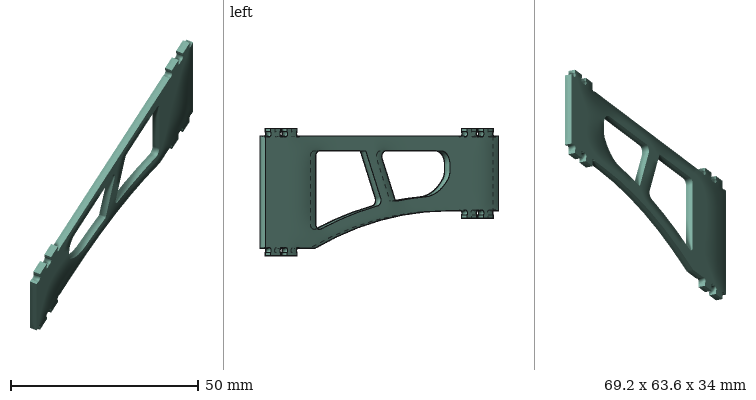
import cadquery as cq
import math

thickness = 2.0
length = 92.0
turn_angle = 42.5
tall_height = 30.0
short_height = 20.0
step_height = tall_height - short_height

arc_start_u = 19.5
arc_end_u = 72.0
arc_run = arc_end_u - arc_start_u
arc_radius = (arc_run**2 + step_height**2) / (2 * step_height)
arc_center = (arc_end_u, step_height - arc_radius)

tab_height = thickness
tab_width = 4.0
tab_gap = 2.5
tab_pitch = tab_width + tab_gap
tab_end_margin = 2.0
relief_radius = 0.8
relief_offset = relief_radius / math.sqrt(2)

border_width = 4.0
window_top = tall_height - border_width
window_arc_radius = arc_radius + border_width
first_window_left = 19.85
second_window_right = 72.8
corner_radius = 1.5
sharp_corner_radius = 0.5
strut_width = 5.0
strut_angle = math.radians(25.0)
strut_left_top = (39.6, window_top)
strut_right_top = (strut_left_top[0] + strut_width / math.cos(strut_angle), window_top)

nose_start_u = 63.0
nose_radius = 12.5
nose_top_radius = 3.5
nose_bottom_radius = 3.5


def extrude(outline):
    return outline.close().extrude(thickness)


def add_arc(outline, center, radius, start, end):
    """Continue the outline from start to end along the shorter arc about center."""
    chord_u = (start[0] + end[0]) / 2 - center[0]
    chord_v = (start[1] + end[1]) / 2 - center[1]
    stretch = radius / math.hypot(chord_u, chord_v)
    middle = (center[0] + chord_u * stretch, center[1] + chord_v * stretch)
    return outline.threePointArc(middle, end)


def make_body():
    start = (arc_start_u, 0)
    end = (arc_end_u, step_height)
    outline = cq.Workplane("XY").moveTo(length, step_height).lineTo(length, tall_height)
    outline = outline.lineTo(0, tall_height).lineTo(0, 0).lineTo(*start)
    return extrude(add_arc(outline, arc_center, arc_radius, start, end))


def window_bottom(u):
    """Point at u on the bottom arc of the windows."""
    return u, arc_center[1] + math.sqrt(window_arc_radius**2 - (u - arc_center[0]) ** 2)


def strut_foot(top):
    """Point where the strut side that comes down from top meets the bottom arc of the windows."""
    along_u = math.sin(strut_angle)
    along_v = -math.cos(strut_angle)
    from_center_u = top[0] - arc_center[0]
    from_center_v = top[1] - arc_center[1]
    toward = from_center_u * along_u + from_center_v * along_v
    excess = from_center_u**2 + from_center_v**2 - window_arc_radius**2
    distance = -toward - math.sqrt(toward**2 - excess)
    return top[0] + distance * along_u, top[1] + distance * along_v


def round_corner(window, corner, radius):
    nearest = cq.selectors.NearestToPointSelector((*corner, thickness / 2))
    return window.edges(nearest).fillet(radius)


def make_first_window():
    bottom_left = window_bottom(first_window_left)
    top_left = (first_window_left, window_top)
    foot = strut_foot(strut_left_top)
    outline = cq.Workplane("XY").moveTo(*bottom_left).lineTo(*top_left)
    outline = outline.lineTo(*strut_left_top).lineTo(*foot)
    window = extrude(add_arc(outline, arc_center, window_arc_radius, foot, bottom_left))
    for corner in (bottom_left, top_left, foot):
        window = round_corner(window, corner, corner_radius)
    return round_corner(window, strut_left_top, sharp_corner_radius)


def make_second_window():
    foot = strut_foot(strut_right_top)
    top_right = (second_window_right, window_top)

    nose_start = window_bottom(nose_start_u)
    ratio = nose_radius / window_arc_radius
    nose_center = (
        nose_start[0] + (nose_start[0] - arc_center[0]) * ratio,
        nose_start[1] + (nose_start[1] - arc_center[1]) * ratio,
    )
    nose_drop = math.sqrt(nose_radius**2 - (second_window_right - nose_center[0]) ** 2)
    nose_end = (second_window_right, nose_center[1] - nose_drop)

    outline = cq.Workplane("XY").moveTo(*foot)
    outline = add_arc(outline, arc_center, window_arc_radius, foot, nose_start)
    outline = add_arc(outline, nose_center, nose_radius, nose_start, nose_end)
    window = extrude(outline.lineTo(*top_right).lineTo(*strut_right_top))
    window = round_corner(window, strut_right_top, corner_radius)
    window = round_corner(window, top_right, nose_top_radius)
    window = round_corner(window, nose_end, nose_bottom_radius)
    return round_corner(window, foot, sharp_corner_radius)


def add_tab_pair(plate, first_u, edge_v, outward):
    """Add two tabs from first_u on along the edge at edge_v; outward is 1 for up, -1 for down."""
    relief_v = edge_v + outward * relief_offset
    tab_centers = []
    relief_centers = []
    for tab_u in (first_u, first_u + tab_pitch):
        tab_centers.append((tab_u + tab_width / 2, edge_v))
        relief_centers.append((tab_u - relief_offset, relief_v))
        relief_centers.append((tab_u + tab_width + relief_offset, relief_v))
    tabs = cq.Workplane("XY").pushPoints(tab_centers).rect(tab_width, 2 * tab_height).extrude(thickness)
    plate = plate.union(tabs)
    for center in relief_centers:
        plate = plate.cut(cq.Workplane("XY").center(*center).circle(relief_radius).extrude(thickness))
    return plate


def make_plate():
    plate = make_body().cut(make_first_window()).cut(make_second_window())
    left_pair_u = tab_end_margin
    right_pair_u = length - tab_end_margin - tab_pitch - tab_width
    plate = add_tab_pair(plate, left_pair_u, 0, -1)
    plate = add_tab_pair(plate, left_pair_u, tall_height, 1)
    plate = add_tab_pair(plate, right_pair_u, step_height, -1)
    return add_tab_pair(plate, right_pair_u, tall_height, 1)


upright_plate = make_plate().rotate((0, 0, 0), (1, 0, 0), 90)
result = upright_plate.rotate((0, 0, 0), (0, 0, 1), -turn_angle)